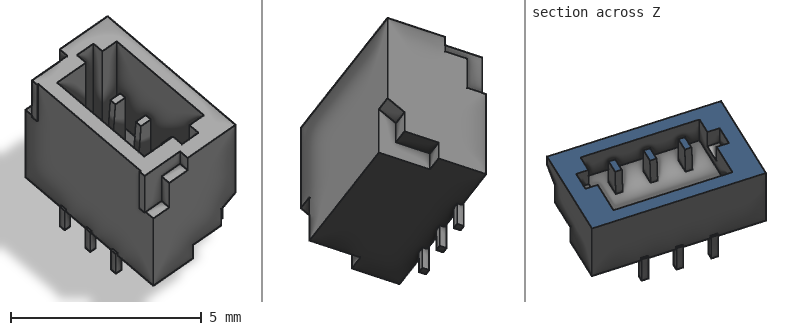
import cadquery as cq

width = 5.0
depth = 2.9
height = 4.25

end_wall = 0.8
long_wall = 0.4
cavity_floor = 1.0

slot_wall = 0.45
slot_front = 1.415
slot_length = 0.58
slot_floor = 1.25

notch_inset = 0.3
notch_shallow = 0.5
notch_deep = 1.5
notch_long = 1.21
notch_short = 0.56

rib_width = 0.2
rib_rise = 0.04

recess_inset = 0.5
recess_low_height = 0.545
recess_low_length = 1.5
recess_high_length = 0.5
recess_slope_start = 1.2
recess_slope_end = 1.49

contact_pitch = 1.0
contact_width = 0.2
contact_count = 3
pin_front = 1.6
pin_length = 0.48
pin_top = 3.0
pin_taper = 0.13
lead_thickness = 0.2
lead_rise = 0.06
lead_top = 0.1
lead_drop = 0.7


def block(x0, x1, y0, y1, z0, z1):
    """Box between two opposite corners."""
    return cq.Workplane("XY").box(x1 - x0, y1 - y0, z1 - z0, centered=False).translate((x0, y0, z0))


def side_profile(points, x0, x1):
    """Outline of (Y, Z) points extruded from x0 to x1."""
    return cq.Workplane("YZ").workplane(offset=x0).polyline(points).close().extrude(x1 - x0)


def both_ends(shape):
    """Shape at the -X end together with its mirror image at the +X end."""
    return shape.union(shape.mirror("YZ"))


def cavity():
    half = width / 2 - end_wall
    pocket = block(-half, half, long_wall, depth - long_wall, cavity_floor, height)
    slot_half = width / 2 - slot_wall
    slots = block(-slot_half, slot_half, slot_front, slot_front + slot_length, slot_floor, height)
    return pocket.union(slots)


def upper_notch():
    points = [
        (0, height),
        (notch_long, height),
        (notch_long, height - notch_shallow),
        (notch_short, height - notch_shallow),
        (notch_short, height - notch_deep),
        (0, height - notch_deep),
    ]
    return side_profile(points, -width / 2, -width / 2 + notch_inset)


def front_rib():
    x0 = -width / 2 + notch_inset
    return block(x0, x0 + rib_width, -rib_rise, long_wall, height - notch_deep, height)


def lower_recess():
    points = [
        (depth, 0),
        (depth - recess_low_length, 0),
        (depth - recess_low_length, recess_low_height),
        (depth - recess_high_length, recess_low_height),
        (depth - recess_high_length, recess_slope_start),
        (depth, recess_slope_end),
    ]
    return side_profile(points, -width / 2, -width / 2 + recess_inset)


def contact(x):
    x0 = x - contact_width / 2
    x1 = x + contact_width / 2
    pin_back = pin_front + pin_length
    pin_foot = cavity_floor / 2
    points = [
        (pin_front, pin_foot),
        (pin_back, pin_foot),
        (pin_back, pin_top),
        (pin_front + pin_taper, pin_top),
        (pin_front, cavity_floor),
    ]
    lead = block(x0, x1, -lead_rise, lead_thickness - lead_rise, -lead_drop, lead_top)
    return side_profile(points, x0, x1).union(lead)


result = block(-width / 2, width / 2, 0, depth, 0, height)
result = result.cut(cavity())
result = result.cut(both_ends(upper_notch()))
result = result.union(both_ends(front_rib()))
result = result.cut(both_ends(lower_recess()))
for index in range(contact_count):
    result = result.union(contact((index - (contact_count - 1) / 2) * contact_pitch))